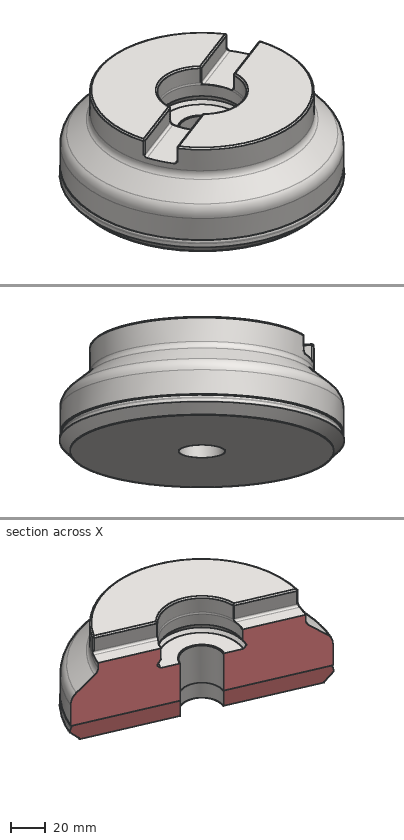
import cadquery as cq
import math

OVERALL_HEIGHT = 63.0
RIM_RADIUS = 82.6
BODY_RADIUS = 164.4 / 2
BOSS_RADIUS = 130.0 / 2
EDGE_CHAMFER = 1.0

SHOULDER_ANGLE = math.radians(40)
CREST_RADIUS = 10.0
CREST_START = 26.0
NECK_RADIUS = 6.0

SPLIT_HEIGHT = 10.7
SPLIT_CHAMFER = 0.5
DISC_TOP_RADIUS = 81.5
DISC_SHOULDER_RADIUS = 82.1
DISC_SHOULDER_HEIGHT = 9.4
DISC_WALL_HEIGHT = 9.0
DISC_WALL_RADIUS = 82.3
RIM_HEIGHT = 6.5
RIM_LAND = 0.5
BASE_RADIUS = 76.5

UPPER_BORE_RADIUS = 25.8
LOWER_BORE_RADIUS = 50.9 / 2
STEP_TOP = 52.2
STEP_BOTTOM = 51.0
RELIEF_TOP = 43.5
RELIEF_MIDDLE = 39.7
RELIEF_RADIUS = 28.0
FLOOR_HEIGHT = 37.5
FLOOR_RADIUS = LOWER_BORE_RADIUS + 0.3
THROUGH_RADIUS = 27.0 / 2
THROUGH_CHAMFER = 0.5

SLOT_WIDTH = 20.0
SLOT_DEPTH = 11.5
SLOT_FLOOR_FILLET = 1.5
SLOT_BORE_CHAMFER = 0.5


def arc_point(center, radius, angle):
    """Point at an angle on a circle in the radius-height plane."""
    return (center[0] + radius * math.cos(angle), center[1] + radius * math.sin(angle))


def revolve(profile):
    return profile.close().revolve(360, (0, 0, 0), (0, 1, 0))


def make_bore():
    """Space inside the stepped bore, its relief groove and the through hole."""
    mouth_radius = UPPER_BORE_RADIUS + EDGE_CHAMFER
    return revolve(
        cq.Workplane("XZ")
        .lineTo(THROUGH_RADIUS, 0)
        .lineTo(THROUGH_RADIUS, FLOOR_HEIGHT - THROUGH_CHAMFER)
        .lineTo(THROUGH_RADIUS + THROUGH_CHAMFER, FLOOR_HEIGHT)
        .lineTo(FLOOR_RADIUS, FLOOR_HEIGHT)
        .lineTo(RELIEF_RADIUS, RELIEF_MIDDLE)
        .lineTo(LOWER_BORE_RADIUS, RELIEF_TOP)
        .lineTo(LOWER_BORE_RADIUS, STEP_BOTTOM)
        .lineTo(UPPER_BORE_RADIUS, STEP_TOP)
        .lineTo(UPPER_BORE_RADIUS, OVERALL_HEIGHT - EDGE_CHAMFER)
        .lineTo(mouth_radius, OVERALL_HEIGHT)
        .lineTo(0, OVERALL_HEIGHT)
    )


def make_blank():
    """Solid of revolution with the body wall, the rounded shoulder and the boss."""
    slope_normal = math.pi / 2 - SHOULDER_ANGLE
    crest_center = (BODY_RADIUS - CREST_RADIUS, CREST_START)
    crest_end = arc_point(crest_center, CREST_RADIUS, slope_normal)
    neck_x = BOSS_RADIUS + NECK_RADIUS
    neck_start_x = neck_x - NECK_RADIUS * math.cos(slope_normal)
    neck_start_z = crest_end[1] + (crest_end[0] - neck_start_x) * math.tan(SHOULDER_ANGLE)
    neck_center = (neck_x, neck_start_z + NECK_RADIUS * math.sin(slope_normal))
    return revolve(
        cq.Workplane("XZ")
        .moveTo(0, SPLIT_HEIGHT)
        .lineTo(BODY_RADIUS - SPLIT_CHAMFER, SPLIT_HEIGHT)
        .lineTo(BODY_RADIUS, SPLIT_HEIGHT + SPLIT_CHAMFER)
        .lineTo(BODY_RADIUS, CREST_START)
        .threePointArc(arc_point(crest_center, CREST_RADIUS, slope_normal / 2), crest_end)
        .lineTo(neck_start_x, neck_start_z)
        .threePointArc(
            arc_point(neck_center, NECK_RADIUS, math.pi + slope_normal / 2),
            (BOSS_RADIUS, neck_center[1]),
        )
        .lineTo(BOSS_RADIUS, OVERALL_HEIGHT - EDGE_CHAMFER)
        .lineTo(BOSS_RADIUS - EDGE_CHAMFER, OVERALL_HEIGHT)
        .lineTo(0, OVERALL_HEIGHT)
    )


def make_slot():
    """Slot space with rounded floor corners and a flared mouth."""
    half_width = SLOT_WIDTH / 2
    length = 2 * RIM_RADIUS
    channel = (
        cq.Workplane("XY", origin=(0, 0, OVERALL_HEIGHT - SLOT_DEPTH))
        .rect(SLOT_WIDTH, length)
        .extrude(SLOT_DEPTH)
        .edges("|Y and <Z")
        .fillet(SLOT_FLOOR_FILLET)
    )
    mouth = (
        cq.Workplane("XZ", origin=(0, length / 2, 0))
        .moveTo(-half_width, OVERALL_HEIGHT - EDGE_CHAMFER)
        .lineTo(half_width, OVERALL_HEIGHT - EDGE_CHAMFER)
        .lineTo(half_width + EDGE_CHAMFER, OVERALL_HEIGHT)
        .lineTo(-half_width - EDGE_CHAMFER, OVERALL_HEIGHT)
        .close()
        .extrude(length)
    )
    return channel.union(mouth)


def make_corner_cutter(radius, chamfer):
    """Four diamond prisms that chamfer the upright edges where the slot walls meet a cylinder."""
    corner_x = SLOT_WIDTH / 2
    corner_y = math.sqrt(radius**2 - corner_x**2)
    corners = [(x, y) for x in (-corner_x, corner_x) for y in (-corner_y, corner_y)]
    height = SLOT_DEPTH - SLOT_FLOOR_FILLET
    return (
        cq.Workplane("XY", origin=(0, 0, OVERALL_HEIGHT - height))
        .pushPoints(corners)
        .polygon(4, 2 * chamfer)
        .extrude(height)
    )


def make_body():
    return (
        make_blank()
        .cut(make_bore())
        .cut(make_slot())
        .cut(make_corner_cutter(BOSS_RADIUS, EDGE_CHAMFER))
        .cut(make_corner_cutter(UPPER_BORE_RADIUS, SLOT_BORE_CHAMFER))
    )


def make_base_disc():
    """Disc under the body, tapered to the base and pierced by the through hole."""
    return revolve(
        cq.Workplane("XZ")
        .moveTo(THROUGH_RADIUS, 0)
        .lineTo(BASE_RADIUS, 0)
        .lineTo(BASE_RADIUS, RIM_LAND)
        .lineTo(RIM_RADIUS, RIM_HEIGHT)
        .lineTo(RIM_RADIUS, RIM_HEIGHT + RIM_LAND)
        .lineTo(DISC_WALL_RADIUS, DISC_WALL_HEIGHT)
        .lineTo(DISC_SHOULDER_RADIUS, DISC_SHOULDER_HEIGHT)
        .lineTo(DISC_TOP_RADIUS, SPLIT_HEIGHT)
        .lineTo(THROUGH_RADIUS, SPLIT_HEIGHT)
    )


body = make_body()
base_disc = make_base_disc()

result = cq.Compound.makeCompound([body.val(), base_disc.val()])